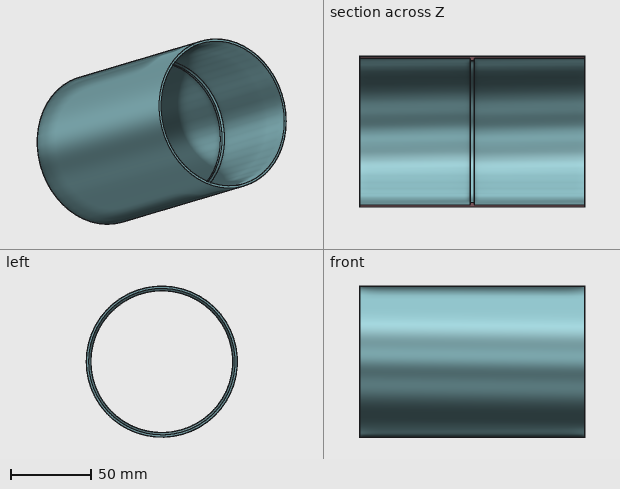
import cadquery as cq

length = 140.0
outer_diameter = 94.0
bore_diameter = 91.0
stop_diameter = 88.0
stop_root_width = 3.0
stop_crest_width = 2.0

half_length = length / 2
outer_radius = outer_diameter / 2
bore_radius = bore_diameter / 2
stop_radius = stop_diameter / 2
half_root = stop_root_width / 2
half_crest = stop_crest_width / 2


def wall_profile():
    """Section of the tube wall in the XY plane, with the tapered stop rib at mid-length."""
    return (
        cq.Workplane("XY")
        .moveTo(-half_length, outer_radius)
        .lineTo(-half_length, bore_radius)
        .lineTo(-half_root, bore_radius)
        .lineTo(-half_crest, stop_radius)
        .lineTo(half_crest, stop_radius)
        .lineTo(half_root, bore_radius)
        .lineTo(half_length, bore_radius)
        .lineTo(half_length, outer_radius)
        .close()
    )


result = wall_profile().revolve(360, (0, 0, 0), (1, 0, 0))